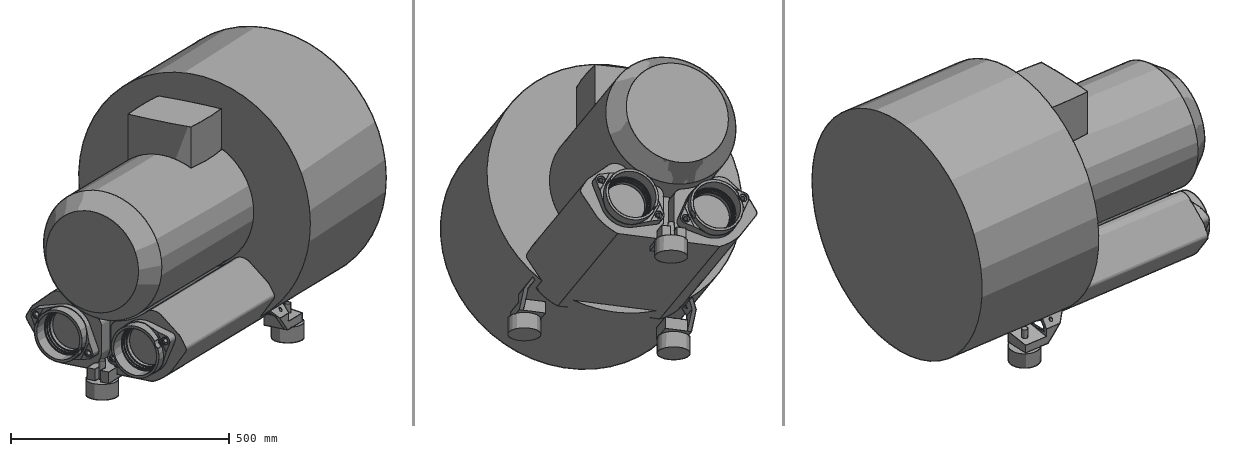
import cadquery as cq
import math


TOTAL_LENGTH = 812.0
TOTAL_HEIGHT = 647.3

DRUM_RADIUS = 307.5
DRUM_DEPTH = 346.0
MOTOR_RADIUS = 157.0
MOTOR_END_RADIUS = 123.0
MOTOR_LENGTH = TOTAL_LENGTH - DRUM_DEPTH
MOTOR_TAPER_LENGTH = 48.0

BOX_CENTER_X = -9.5
BOX_CENTER_Y = -74.0
BOX_WIDTH = 167.0
BOX_DEPTH = 138.0
BOX_SIDE_BULGE = 3.0
BOX_TOP_Z = 239.0

SILENCER_LENGTH = 402.0
SILENCER_INSET = 43.0
SILENCER_BOTTOM_Z = -291.0
SILENCER_TOP_Z = -117.0
SADDLE_OUTER_X = -109.0
SADDLE_MIDDLE_X = -75.0
SADDLE_INNER_X = -31.0
MOTOR_CLEARANCE = 6.0
SLOT_HALF_WIDTH = 12.7
SLOT_FLOOR_Z = -273.0
SLOT_DEPTH = 40.0
WEB_TOP_Z = -166.5
WEB_OVERLAP = 2.0

PORT_X = 102.0
PORT_Z = -208.3
RING_RADIUS = 63.2
PORT_LENGTH = 43.5
PORT_BORES = ((57.0, 35.0), (54.5, 41.0), (52.0, 48.0), (49.5, 60.0))
EAR_DISTANCE = 77.0
EAR_TILT = 26.5
EAR_RADIUS = 13.5
EAR_HEIGHT = 27.0
EAR_HOLE_RADIUS = 5.0
EAR_SPOTFACE_RADIUS = 9.0
EAR_SPOTFACE_DEPTH = 4.0
EAR_RELIEF_RADIUS = 17.0
FLANGE_RADIUS = 64.2
FLANGE_HEIGHT = 16.0
RAMP_OUTER = 68.0
RAMP_INNER = 36.0

FOOT_RADIUS = 37.8
FOOT_BOTTOM_Z = DRUM_RADIUS - TOTAL_HEIGHT
FOOT_HEIGHT = 38.5
FOOT_TOP_Z = FOOT_BOTTOM_Z + FOOT_HEIGHT
FRONT_FOOT_Y = -420.0
REAR_FOOT_X = 180.0
REAR_FOOT_Y = 115.5
BOLT_RADIUS = 7.5
BOLT_TOP_Z = -255.5
BLOCK_TOP_Z = -273.0

FORK_WIDTH = 57.5
FORK_FRONT_Y = -440.0
FORK_PLATE_BACK_Y = -352.0

BRACKET_OUTER_X = 207.5
BRACKET_INNER_X = 144.5
BRACKET_BACK_Y = 135.0
STRAP_THICKNESS = 10.0
STRAP_BACK_Y = 73.0
STRAP_LOWER_FRONT_Y = 68.0
STRAP_UPPER_FRONT_Y = 13.5
STRAP_BEND_Z = -261.0
STRAP_TOP_Z = -239.5
STRAP_LEAN = 15.0
BLOCK_OUTER_TOP_Z = -281.0
STRAP_HOLE_RADIUS = 4.0
STRAP_HOLE_Y = 52.0
STRAP_HOLE_Z = -247.5


def facing_front(y):
    """XZ work plane at the given y; extruding it runs toward -Y."""
    return cq.Workplane("XZ").workplane(offset=-y)


def upright_cylinder(x, y, z_low, z_high, radius):
    return cq.Workplane("XY").workplane(offset=z_low).center(x, y).circle(radius).extrude(z_high - z_low)


def box_between(x_range, y_range, z_range):
    sizes = [high - low for low, high in (x_range, y_range, z_range)]
    return cq.Workplane("XY").box(*sizes, centered=False).translate((x_range[0], y_range[0], z_range[0]))


def with_mirror(body):
    return body.union(body.mirror("YZ"))


def make_drum_and_motor():
    taper_start = MOTOR_TAPER_LENGTH - MOTOR_LENGTH
    return (
        cq.Workplane("XY")
        .moveTo(0, DRUM_DEPTH)
        .lineTo(DRUM_RADIUS, DRUM_DEPTH)
        .lineTo(DRUM_RADIUS, 0)
        .lineTo(MOTOR_RADIUS, 0)
        .lineTo(MOTOR_RADIUS, taper_start)
        .lineTo(MOTOR_END_RADIUS, -MOTOR_LENGTH)
        .lineTo(0, -MOTOR_LENGTH)
        .close()
        .revolve(360, (0, 0, 0), (0, 1, 0))
    )


def make_terminal_box():
    """Upright box whose four sides bulge slightly; its foot is buried in the motor."""
    half_x = BOX_WIDTH / 2
    half_y = BOX_DEPTH / 2
    return (
        cq.Workplane("XY")
        .center(BOX_CENTER_X, BOX_CENTER_Y)
        .moveTo(-half_x, -half_y)
        .threePointArc((0, -half_y - BOX_SIDE_BULGE), (half_x, -half_y))
        .threePointArc((half_x + BOX_SIDE_BULGE, 0), (half_x, half_y))
        .threePointArc((0, half_y + BOX_SIDE_BULGE), (-half_x, half_y))
        .threePointArc((-half_x - BOX_SIDE_BULGE, 0), (-half_x, -half_y))
        .close()
        .extrude(BOX_TOP_Z)
    )


def make_silencer():
    """Two mirrored lobes wrapped under the motor, joined by a floor and a set-back web."""
    saddle_radius = MOTOR_RADIUS + MOTOR_CLEARANCE

    def on_saddle(x):
        return (x, -math.sqrt(saddle_radius**2 - x**2))

    belly_start = (-123, SILENCER_BOTTOM_Z)
    belly_middle = (-150, -276.5)
    belly_end = (-172.5, -256.5)
    knee_low, knee_middle, knee_high = (-210, -203), (-212.5, -196), (-211, -190)
    shoulder_low, shoulder_middle, shoulder_high = (-199, -170), (-195.5, -165.5), (-191, -161.5)
    crest_start = (-145, -123)
    crest_middle = (-128, SILENCER_TOP_Z)
    saddle_middle = on_saddle(SADDLE_MIDDLE_X)
    saddle_inner = on_saddle(SADDLE_INNER_X)
    slot_lip = (-18, -167)
    slot_top = (-SLOT_HALF_WIDTH, -184)
    slot_bottom = (-SLOT_HALF_WIDTH, -249)
    flare_middle = (-15.5, -260)
    flare_end = (-23.5, SLOT_FLOOR_Z)
    full_length = SILENCER_LENGTH + SILENCER_INSET
    lobe = (
        facing_front(SILENCER_INSET)
        .moveTo(0, SILENCER_BOTTOM_Z)
        .lineTo(*belly_start)
        .threePointArc(belly_middle, belly_end)
        .lineTo(*knee_low)
        .threePointArc(knee_middle, knee_high)
        .lineTo(*shoulder_low)
        .threePointArc(shoulder_middle, shoulder_high)
        .lineTo(*crest_start)
        .threePointArc(crest_middle, on_saddle(SADDLE_OUTER_X))
        .threePointArc(saddle_middle, saddle_inner)
        .threePointArc(slot_lip, slot_top)
        .lineTo(*slot_bottom)
        .threePointArc(flare_middle, flare_end)
        .lineTo(0, SLOT_FLOOR_Z)
        .close()
        .extrude(full_length)
    )
    web = box_between(
        (-SLOT_HALF_WIDTH - WEB_OVERLAP, SLOT_HALF_WIDTH + WEB_OVERLAP),
        (SLOT_DEPTH - SILENCER_LENGTH, SILENCER_INSET),
        (SILENCER_BOTTOM_Z, WEB_TOP_Z),
    )
    return with_mirror(lobe).union(web)


def place_left_port(body):
    """Move a port body from its own axis to the left port seat."""
    return body.rotate((0, 0, 0), (0, 1, 0), EAR_TILT).translate((-PORT_X, -SILENCER_LENGTH, PORT_Z))


def make_port():
    """Left hose port, built around its own axis with the ears along local X."""
    ring = cq.Workplane("XZ").circle(RING_RADIUS).extrude(PORT_LENGTH)
    tangent_angle = math.acos((FLANGE_RADIUS - EAR_RADIUS) / EAR_DISTANCE)
    cos_t = math.cos(tangent_angle)
    sin_t = math.sin(tangent_angle)
    ear_edge = (EAR_DISTANCE + EAR_RADIUS * cos_t, EAR_RADIUS * sin_t)
    flange_edge = (FLANGE_RADIUS * cos_t, FLANGE_RADIUS * sin_t)
    plate = (
        cq.Workplane("XZ")
        .moveTo(-flange_edge[0], flange_edge[1])
        .threePointArc((0, FLANGE_RADIUS), flange_edge)
        .lineTo(*ear_edge)
        .threePointArc((EAR_DISTANCE + EAR_RADIUS, 0), (ear_edge[0], -ear_edge[1]))
        .lineTo(flange_edge[0], -flange_edge[1])
        .threePointArc((0, -FLANGE_RADIUS), (-flange_edge[0], -flange_edge[1]))
        .lineTo(-ear_edge[0], -ear_edge[1])
        .threePointArc((-EAR_DISTANCE - EAR_RADIUS, 0), (-ear_edge[0], ear_edge[1]))
        .close()
        .extrude(EAR_HEIGHT)
    )
    ramp = (
        cq.Workplane("XY")
        .moveTo(-RAMP_INNER, -FLANGE_HEIGHT)
        .lineTo(RAMP_INNER, -FLANGE_HEIGHT)
        .lineTo(RAMP_OUTER, -EAR_HEIGHT)
        .lineTo(-RAMP_OUTER, -EAR_HEIGHT)
        .close()
        .extrude(FLANGE_RADIUS, both=True)
    )
    ears = [(-EAR_DISTANCE, 0), (EAR_DISTANCE, 0)]
    relief_depth = PORT_LENGTH - EAR_HEIGHT
    relief = facing_front(-EAR_HEIGHT).pushPoints(ears).circle(EAR_RELIEF_RADIUS).extrude(relief_depth)
    holes = cq.Workplane("XZ").pushPoints(ears).circle(EAR_HOLE_RADIUS).extrude(EAR_HEIGHT)
    spotface_floor = EAR_SPOTFACE_DEPTH - EAR_HEIGHT
    spotfaces = (
        facing_front(spotface_floor).pushPoints(ears).circle(EAR_SPOTFACE_RADIUS).extrude(EAR_SPOTFACE_DEPTH)
    )
    port = ring.union(plate.cut(ramp)).cut(relief).cut(spotfaces).cut(holes)
    return place_left_port(port)


def make_port_bores():
    """Stepped bore of the left port, narrowing from its mouth."""
    bores = cq.Workplane("XZ")
    for radius, depth in PORT_BORES:
        bores = bores.union(facing_front(depth - PORT_LENGTH).circle(radius).extrude(depth))
    return place_left_port(bores)


def make_foot(x, y):
    """Rubber buffer with its bolt standing on top."""
    buffer = upright_cylinder(x, y, FOOT_BOTTOM_Z, FOOT_TOP_Z, FOOT_RADIUS)
    return buffer.union(upright_cylinder(x, y, FOOT_TOP_Z, BOLT_TOP_Z, BOLT_RADIUS))


def make_front_foot():
    """Fork in front of the silencer, carried by a plate below it and slotted for the bolt."""
    sides = (-FORK_WIDTH / 2, FORK_WIDTH / 2)
    block = box_between(sides, (FORK_FRONT_Y, -SILENCER_LENGTH), (FOOT_TOP_Z, BLOCK_TOP_Z))
    plate = box_between(sides, (-SILENCER_LENGTH, FORK_PLATE_BACK_Y), (FOOT_TOP_Z, SILENCER_BOTTOM_Z))
    slot = box_between((-BOLT_RADIUS, BOLT_RADIUS), (FORK_FRONT_Y, FRONT_FOOT_Y), (FOOT_TOP_Z, BLOCK_TOP_Z))
    return block.union(plate).cut(slot).union(make_foot(0, FRONT_FOOT_Y))


def make_left_rear_foot():
    """Foot with a sloped block, its front wall and a bent strap that leans against the drum."""
    block = (
        facing_front(BRACKET_BACK_Y)
        .moveTo(-BRACKET_OUTER_X, FOOT_TOP_Z)
        .lineTo(-BRACKET_OUTER_X, BLOCK_OUTER_TOP_Z)
        .lineTo(-BRACKET_INNER_X, BLOCK_TOP_Z)
        .lineTo(-BRACKET_INNER_X, FOOT_TOP_Z)
        .close()
        .extrude(BRACKET_BACK_Y - STRAP_BACK_Y)
    )
    front_wall = box_between(
        (-BRACKET_OUTER_X, -BRACKET_INNER_X),
        (STRAP_LOWER_FRONT_Y, STRAP_BACK_Y),
        (FOOT_TOP_Z, BLOCK_TOP_Z),
    )
    inner_x = STRAP_THICKNESS - BRACKET_OUTER_X
    bent_bar = (
        facing_front(STRAP_BACK_Y)
        .moveTo(-BRACKET_OUTER_X, FOOT_TOP_Z)
        .lineTo(-BRACKET_OUTER_X, STRAP_BEND_Z)
        .lineTo(STRAP_LEAN - BRACKET_OUTER_X, STRAP_TOP_Z)
        .lineTo(STRAP_LEAN + inner_x, STRAP_TOP_Z)
        .lineTo(inner_x, STRAP_BEND_Z)
        .lineTo(inner_x, FOOT_TOP_Z)
        .close()
        .extrude(STRAP_BACK_Y - STRAP_UPPER_FRONT_Y)
    )
    side_outline = (
        cq.Workplane("YZ")
        .moveTo(STRAP_BACK_Y, FOOT_TOP_Z)
        .lineTo(STRAP_LOWER_FRONT_Y, FOOT_TOP_Z)
        .lineTo(STRAP_UPPER_FRONT_Y, STRAP_TOP_Z)
        .lineTo(STRAP_BACK_Y, STRAP_TOP_Z)
        .close()
        .extrude(-BRACKET_OUTER_X)
    )
    hole = (
        cq.Workplane("YZ")
        .center(STRAP_HOLE_Y, STRAP_HOLE_Z)
        .circle(STRAP_HOLE_RADIUS)
        .extrude(-BRACKET_OUTER_X)
    )
    strap = bent_bar.intersect(side_outline).cut(hole)
    return block.union(front_wall).union(strap).union(make_foot(-REAR_FOOT_X, REAR_FOOT_Y))


result = (
    make_drum_and_motor()
    .union(make_terminal_box())
    .union(make_silencer())
    .union(with_mirror(make_port()))
    .cut(with_mirror(make_port_bores()))
    .union(make_front_foot())
    .union(with_mirror(make_left_rear_foot()))
)